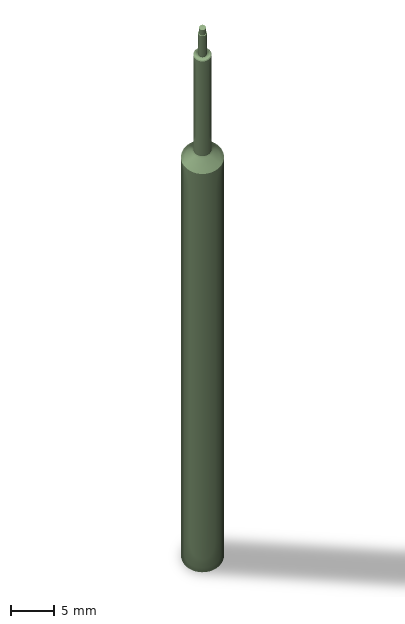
import cadquery as cq

handle_diameter = 5.0
shank_diameter = 2.1
neck_diameter = 1.0
tip_diameter = 0.8

total_length = 100.0
handle_length = 75.5
shoulder_height = 1.5
end_length = 5.0
tip_length = 1.0

base_chamfer = 0.2
shank_chamfer = 0.1

handle_radius = handle_diameter / 2
shank_radius = shank_diameter / 2
neck_radius = neck_diameter / 2
tip_radius = tip_diameter / 2
shoulder_top = handle_length + shoulder_height
shank_top = total_length - end_length
neck_top = total_length - tip_length

profile = (
    cq.Workplane("XZ")
    .moveTo(0, 0)
    .lineTo(handle_radius - base_chamfer, 0)
    .lineTo(handle_radius, base_chamfer)
    .lineTo(handle_radius, handle_length)
    .lineTo(shank_radius, shoulder_top)
    .lineTo(shank_radius, shank_top - shank_chamfer)
    .lineTo(shank_radius - shank_chamfer, shank_top)
    .lineTo(neck_radius, shank_top)
    .lineTo(neck_radius, neck_top)
    .lineTo(tip_radius, neck_top)
    .lineTo(tip_radius, total_length)
    .lineTo(0, total_length)
    .close()
)

result = profile.revolve(360, (0, 0, 0), (0, 1, 0))